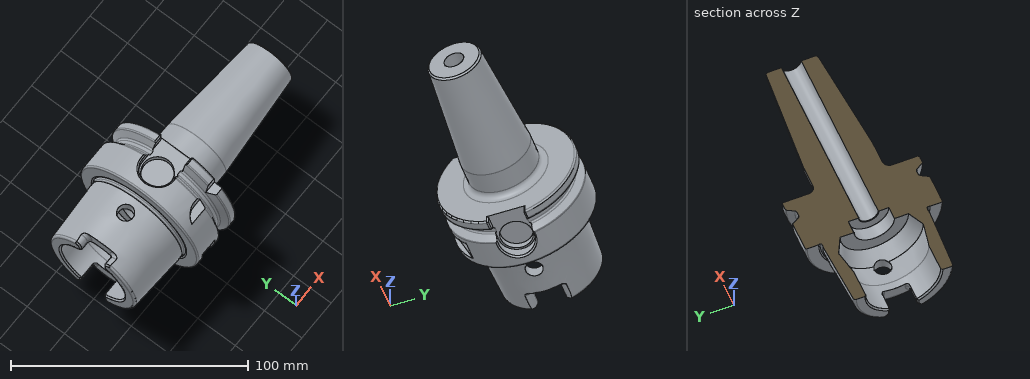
import cadquery as cq
import math


TOTAL_LENGTH = 122.0
SHANK_LENGTH = 32.0
FLANGE_WIDTH = 26.0
NOSE_X = -SHANK_LENGTH
CHUCK_END_X = TOTAL_LENGTH - SHANK_LENGTH

GAUGE_RADIUS = 24.0
GAUGE_X = -6.3
TAPER_SLOPE = 1 / 20
NOSE_ROUND = 1.1
TAPER_END_X = -1.7

NECK_START_X = -1.3
NECK_RADIUS = 24.2
NECK_ROUND = 0.6
UNDERCUT_DEPTH = 0.2
UNDERCUT_RADIUS = 25.5

FLANGE_RADIUS = 31.5
FLANGE_ROUND = 0.7
GROOVE_X = 18.0
GROOVE_RADIUS = 27.5
GROOVE_FLOOR_HALF = 1.5
GROOVE_FLANK_ANGLE = 30.0
GROOVE_ROUND = 1.1
GROOVE_FRONT_ROUND = 0.4

CHUCK_RADIUS = 16.0
CHUCK_FILLET = 3.0
CHUCK_TAPER_X = 39.0
CHUCK_END_RADIUS = 12.0
CHUCK_END_CHAMFER = 0.7

BORE_RADIUS = 17.1
BORE_CHAMFER = 0.7
BORE_STRAIGHT = 13.4
HOLLOW_END = 24.8
HOLLOW_RADIUS = 19.3
BORE_FLOOR_RADIUS = 15.6
RECESS_RADIUS = 9.2
RECESS_DEPTH = 6.1
COOLANT_RADIUS = 4.4
COOLANT_CHAMFER = 0.2

CROSS_HOLE_X = -9.2
CROSS_HOLE_RADIUS = 3.8

NOSE_SLOT_HALF = 6.2
NOSE_SLOT_FLARE_Z = 17.9
NOSE_SLOT_FLARE = 3.0
NOSE_SLOT_FILLET = 1.5
NOSE_SLOT_CHAMFER = 0.7
UPPER_SLOT_DEPTH = 6.0
LOWER_SLOT_DEPTH = 9.9

KEYWAY_X = 12.7
KEYWAY_RADIUS = 7.9
KEYWAY_FLOOR_Z = 26.5
KEYWAY_CHAMFER = 0.7
CUTTER_TOP_Z = FLANGE_RADIUS + 1.2
POCKET_RADIUS = 7.1
POCKET_DEPTH = 2.9

NOTCH_X = 12.1
NOTCH_WALL_Y = -20.0
NOTCH_FLOOR_Z = 20.0

FLAT_START_X = 3.3
FLAT_WIDTH = 8.3
FLAT_LOWER_Z = -21.7

PICK_MARGIN = 0.1


def taper_radius(x):
    """Outer radius of the taper shank at x."""
    return GAUGE_RADIUS + (x - GAUGE_X) * TAPER_SLOPE


def turned_body():
    """Revolve the shank, flange and chuck; finish the nose, the chuck end and the chuck root."""
    neck_arc_mid = (
        UNDERCUT_DEPTH - NECK_ROUND + NECK_ROUND * math.sin(math.pi / 4),
        NECK_RADIUS + NECK_ROUND - NECK_ROUND * math.cos(math.pi / 4),
    )
    outline = (
        cq.Workplane("XY")
        .moveTo(NOSE_X, 0)
        .lineTo(NOSE_X, taper_radius(NOSE_X))
        .lineTo(TAPER_END_X, taper_radius(TAPER_END_X))
        .lineTo(NECK_START_X, NECK_RADIUS)
        .lineTo(UNDERCUT_DEPTH - NECK_ROUND, NECK_RADIUS)
        .threePointArc(neck_arc_mid, (UNDERCUT_DEPTH, NECK_RADIUS + NECK_ROUND))
        .lineTo(0, UNDERCUT_RADIUS)
        .lineTo(0, FLANGE_RADIUS)
        .lineTo(FLANGE_WIDTH, FLANGE_RADIUS)
        .lineTo(FLANGE_WIDTH, CHUCK_RADIUS)
        .lineTo(CHUCK_TAPER_X, CHUCK_RADIUS)
        .lineTo(CHUCK_END_X, CHUCK_END_RADIUS)
        .lineTo(CHUCK_END_X, 0)
        .close()
    )
    body = outline.revolve(360, (0, 0, 0), (1, 0, 0))
    body = body.faces("<X").edges().fillet(NOSE_ROUND)
    body = body.faces(">X").edges().chamfer(CHUCK_END_CHAMFER)
    reach = CHUCK_RADIUS + PICK_MARGIN
    inner_corner = cq.selectors.BoxSelector(
        (FLANGE_WIDTH - PICK_MARGIN, -reach, -reach),
        (FLANGE_WIDTH + PICK_MARGIN, reach, reach),
        boundingbox=True,
    )
    return body.edges(inner_corner).fillet(CHUCK_FILLET)


def groove_ring():
    """Ring removed for the V-groove."""
    flank = (FLANGE_RADIUS - GROOVE_RADIUS) * math.tan(math.radians(GROOVE_FLANK_ANGLE))
    mouth_half = GROOVE_FLOOR_HALF + flank
    ring = (
        cq.Workplane("XY")
        .moveTo(GROOVE_X - mouth_half, FLANGE_RADIUS)
        .lineTo(GROOVE_X - GROOVE_FLOOR_HALF, GROOVE_RADIUS)
        .lineTo(GROOVE_X + GROOVE_FLOOR_HALF, GROOVE_RADIUS)
        .lineTo(GROOVE_X + mouth_half, FLANGE_RADIUS)
        .close()
        .revolve(360, (0, 0, 0), (1, 0, 0))
    )
    floor_edges = cq.selectors.RadiusNthSelector(0)
    return ring.edges("%CIRCLE").edges(floor_edges).fillet(GROOVE_ROUND)


def bore():
    """Hollow that widens and narrows again, floor recess and coolant hole to the chuck end."""
    return (
        cq.Workplane("XY")
        .moveTo(NOSE_X, 0)
        .lineTo(NOSE_X, BORE_RADIUS + BORE_CHAMFER)
        .lineTo(NOSE_X + BORE_CHAMFER, BORE_RADIUS)
        .lineTo(NOSE_X + BORE_STRAIGHT, BORE_RADIUS)
        .lineTo(NOSE_X + HOLLOW_END, HOLLOW_RADIUS)
        .lineTo(0, BORE_FLOOR_RADIUS)
        .lineTo(0, RECESS_RADIUS)
        .lineTo(RECESS_DEPTH, RECESS_RADIUS)
        .lineTo(RECESS_DEPTH, COOLANT_RADIUS + COOLANT_CHAMFER)
        .lineTo(RECESS_DEPTH + COOLANT_CHAMFER, COOLANT_RADIUS)
        .lineTo(CHUCK_END_X, COOLANT_RADIUS)
        .lineTo(CHUCK_END_X, 0)
        .close()
        .revolve(360, (0, 0, 0), (1, 0, 0))
    )


def cross_hole():
    """Radial hole through both walls of the taper shank."""
    return (
        cq.Workplane("XY")
        .center(CROSS_HOLE_X, 0)
        .circle(CROSS_HOLE_RADIUS)
        .extrude(FLANGE_RADIUS, both=True)
    )


def nose_slot_outline(offset):
    """Slot section at the nose, grown by offset: straight walls that flare out in an arc."""
    half = NOSE_SLOT_HALF + offset
    flare = NOSE_SLOT_FLARE - offset
    flare_y = half + flare
    flare_z = NOSE_SLOT_FLARE_Z + flare
    arc_y = flare_y - flare * math.cos(math.pi / 4)
    arc_z = NOSE_SLOT_FLARE_Z + flare * math.sin(math.pi / 4)
    return (
        cq.Workplane("YZ", origin=(NOSE_X, 0, 0))
        .moveTo(-half, 0)
        .lineTo(-half, NOSE_SLOT_FLARE_Z)
        .threePointArc((-arc_y, arc_z), (-flare_y, flare_z))
        .lineTo(-flare_y, GAUGE_RADIUS)
        .lineTo(flare_y, GAUGE_RADIUS)
        .lineTo(flare_y, flare_z)
        .threePointArc((arc_y, arc_z), (half, NOSE_SLOT_FLARE_Z))
        .lineTo(half, 0)
        .close()
    )


def nose_slot(depth):
    """Drive slot on the +Z side with a filleted floor and a chamfered mouth."""
    slot = nose_slot_outline(0).extrude(depth)
    slot = slot.faces(">X").edges().fillet(NOSE_SLOT_FILLET)
    wide = nose_slot_outline(NOSE_SLOT_CHAMFER).wires().val()
    narrow = nose_slot_outline(0).wires().val().translate(cq.Vector(NOSE_SLOT_CHAMFER, 0, 0))
    mouth = cq.Solid.makeLoft([wide, narrow], True)
    return slot.union(cq.Workplane(mouth))


def round_ended_slot(center_x, center_y, floor_z):
    """Upright slot cutter: round at the -X end, running out through the back of the flange."""
    radius = KEYWAY_RADIUS
    length = FLANGE_WIDTH - center_x
    base = cq.Workplane("XY", origin=(center_x, center_y, floor_z))
    return (
        base.moveTo(0, -radius)
        .lineTo(length, -radius)
        .lineTo(length, radius)
        .lineTo(0, radius)
        .threePointArc((-radius, 0), (0, -radius))
        .close()
        .extrude(CUTTER_TOP_Z - floor_z)
    )


def keyway():
    """Cutter for the flange keyway on the +Z side with its round pocket."""
    slot = round_ended_slot(KEYWAY_X, 0, KEYWAY_FLOOR_Z)
    pocket = (
        cq.Workplane("XY", origin=(KEYWAY_X, 0, KEYWAY_FLOOR_Z - POCKET_DEPTH))
        .circle(POCKET_RADIUS)
        .extrude(POCKET_DEPTH)
    )
    return slot.union(pocket)


def orientation_notch():
    """Notch beside the upper keyway, milled from above on the -Y side."""
    center_y = NOTCH_WALL_Y - KEYWAY_RADIUS
    return round_ended_slot(NOTCH_X, center_y, NOTCH_FLOOR_Z)


def side_flat():
    """Chordal flat on the -Y side, reaching from the axis height down to FLAT_LOWER_Z."""
    lower_y = -math.sqrt(FLANGE_RADIUS**2 - FLAT_LOWER_Z**2)
    return (
        cq.Workplane("YZ", origin=(FLAT_START_X, 0, 0))
        .moveTo(-FLANGE_RADIUS, 0)
        .lineTo(lower_y, FLAT_LOWER_Z)
        .lineTo(-FLANGE_RADIUS, FLAT_LOWER_Z)
        .close()
        .extrude(FLAT_WIDTH)
    )


def turned_over(cutter):
    """Half turn about the axis, taking a cutter from the +Z side to the -Z side."""
    return cutter.rotate((0, 0, 0), (1, 0, 0), 180)


def keyway_rims(shape):
    """Edges where the walls of both keyways meet the flange cylinder."""
    middle_z = (KEYWAY_FLOOR_Z + FLANGE_RADIUS) / 2
    upper = cq.selectors.BoxSelector(
        (0, -FLANGE_RADIUS, middle_z), (FLANGE_WIDTH, FLANGE_RADIUS, FLANGE_RADIUS)
    )
    lower = cq.selectors.BoxSelector(
        (0, -FLANGE_RADIUS, -FLANGE_RADIUS), (FLANGE_WIDTH, FLANGE_RADIUS, -middle_z)
    )
    return shape.edges(upper + lower)


def keyway_back_corners(shape):
    """Upright edges where the keyway walls run out through the back of the flange."""
    reach = KEYWAY_RADIUS + PICK_MARGIN
    slab = cq.selectors.BoxSelector(
        (FLANGE_WIDTH - PICK_MARGIN, -reach, -FLANGE_RADIUS),
        (FLANGE_WIDTH + PICK_MARGIN, reach, FLANGE_RADIUS),
    )
    return shape.edges("|Z").edges(slab)


def rims_between(shape, start_x, end_x):
    """Rim arcs of the flange cylinder with start_x < x < end_x."""
    slab = cq.selectors.BoxSelector(
        (start_x, -FLANGE_RADIUS, -FLANGE_RADIUS), (end_x, FLANGE_RADIUS, FLANGE_RADIUS)
    )
    return shape.edges("%CIRCLE").edges(cq.selectors.RadiusNthSelector(-1)).edges(slab)


body = turned_body().cut(keyway()).cut(turned_over(keyway()))
body = keyway_rims(body).add(keyway_back_corners(body)).chamfer(KEYWAY_CHAMFER)
body = body.cut(groove_ring())
body = rims_between(body, -PICK_MARGIN, KEYWAY_X).fillet(FLANGE_ROUND)
body = rims_between(body, KEYWAY_X, GROOVE_X).fillet(GROOVE_FRONT_ROUND)
body = rims_between(body, GROOVE_X, FLANGE_WIDTH + PICK_MARGIN).fillet(FLANGE_ROUND)
body = body.cut(bore()).cut(cross_hole())
body = body.cut(nose_slot(UPPER_SLOT_DEPTH)).cut(turned_over(nose_slot(LOWER_SLOT_DEPTH)))
result = body.cut(orientation_notch()).cut(side_flat())